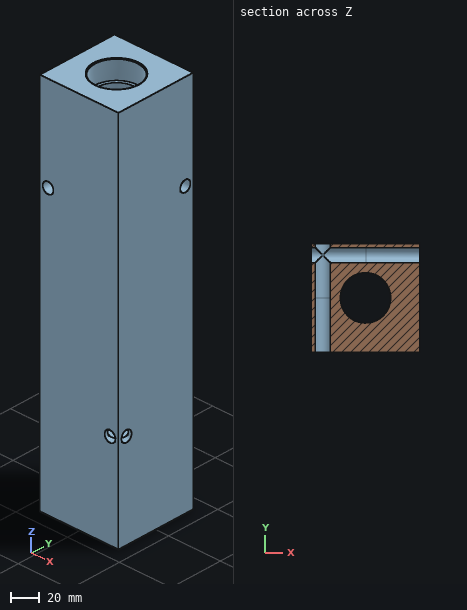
import cadquery as cq

length = 355.5
width = 76.0

bore_diameter = 35.0
socket_mouth_diameter = 43.5
socket_floor_diameter = 41.0
socket_depth = 17.8
socket_chamfer = 0.7

cross_hole_diameter = 10.3
cross_hole_edge_distance = 8.2
cross_hole_end_distance = length / 4

cross_hole_offset = width / 2 - cross_hole_edge_distance
upper_height = length - cross_hole_end_distance
lower_height = cross_hole_end_distance


def make_bar():
    """Square bar standing on the XY plane, centred on the Z axis."""
    return cq.Workplane("XY").box(width, width, length, centered=(True, True, False))


def make_bore():
    """Through bore and the chamfered socket that tapers to a flat floor, as one revolved cutter."""
    bore_radius = bore_diameter / 2
    socket_mouth_radius = socket_mouth_diameter / 2
    socket_floor_height = length - socket_depth
    return (
        cq.Workplane("XZ")
        .lineTo(bore_radius, 0)
        .lineTo(bore_radius, socket_floor_height)
        .lineTo(socket_floor_diameter / 2, socket_floor_height)
        .lineTo(socket_mouth_radius - socket_chamfer, length - socket_chamfer)
        .lineTo(socket_mouth_radius, length)
        .lineTo(0, length)
        .close()
        .revolve(360, (0, 0, 0), (0, 1, 0))
    )


def make_cross_holes(plane, upper_offset):
    """Two through holes normal to the plane, on opposite sides of the bar axis."""
    centres = [(upper_offset, upper_height), (-upper_offset, lower_height)]
    return (
        cq.Workplane(plane)
        .pushPoints(centres)
        .circle(cross_hole_diameter / 2)
        .extrude(width, both=True)
    )


holes_along_y = make_cross_holes("XZ", -cross_hole_offset)
holes_along_x = make_cross_holes("YZ", cross_hole_offset)

result = make_bar().cut(make_bore()).cut(holes_along_y).cut(holes_along_x)